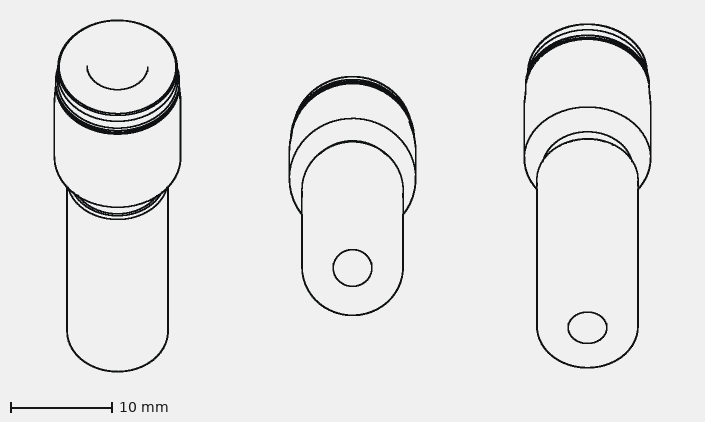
import cadquery as cq
import math

stem_diameter = 10.0
stem_top = 25.3
stem_top_chamfer = 0.25
stem_bottom_fillet = 0.25

neck_diameter = 9.0

body_diameter = 12.5
body_cone_top = 28.7
body_taper_bottom = 37.7
body_taper_top = 39.8
body_rim_diameter = 12.2
body_top = 41.2
body_top_chamfer = 0.18

groove_top = 40.65
groove_width = 0.18
groove_depth = 0.1

sleeve_diameter = 7.5
flange_diameter = 11.8
flange_bottom = 42.25
flange_cone_bottom = 43.35
flange_edge_chamfer = 0.15
flange_root_fillet = 0.35
total_height = 43.8

socket_diameter = 6.0
socket_mouth_fillet = 0.25
socket_bottom = body_cone_top
passage_diameter = 3.8


DIAGONAL = math.sqrt(0.5)


def revolve_outline(outline):
    """Close a half outline drawn in radius and height, and turn it about the Z axis."""
    return outline.close().revolve(360, (0, 0), (0, 1))


def quarter_round(outline, center, start_direction, end_direction, radius):
    """Continue the outline with a quarter arc about center, between two perpendicular directions."""
    middle = tuple(c + radius * DIAGONAL * (s + e) for c, s, e in zip(center, start_direction, end_direction))
    end = tuple(c + radius * e for c, e in zip(center, end_direction))
    return outline.threePointArc(middle, end)


OUTWARD, INWARD = (1, 0), (-1, 0)
UP, DOWN = (0, 1), (0, -1)


def make_outer_body():
    """Revolve the half outline of the fitting, traced from the bottom up."""
    stem_radius = stem_diameter / 2
    neck_radius = neck_diameter / 2
    body_radius = body_diameter / 2
    rim_radius = body_rim_diameter / 2
    sleeve_radius = sleeve_diameter / 2
    flange_radius = flange_diameter / 2
    mouth_radius = socket_diameter / 2 + socket_mouth_fillet
    cone_height = body_radius - neck_radius
    stem_fillet_center = (stem_radius - stem_bottom_fillet, stem_bottom_fillet)
    root_fillet_center = (sleeve_radius + flange_root_fillet, flange_bottom - flange_root_fillet)

    outline = cq.Workplane("XZ").lineTo(stem_radius - stem_bottom_fillet, 0)
    outline = quarter_round(outline, stem_fillet_center, DOWN, OUTWARD, stem_bottom_fillet)
    outline = (
        outline.lineTo(stem_radius, stem_top - stem_top_chamfer)
        .lineTo(stem_radius - stem_top_chamfer, stem_top)
        .lineTo(neck_radius, stem_top)
        .lineTo(neck_radius, body_cone_top - cone_height)
        .lineTo(body_radius, body_cone_top)
        .lineTo(body_radius, body_taper_bottom)
        .lineTo(rim_radius, body_taper_top)
        .lineTo(rim_radius, body_top - body_top_chamfer)
        .lineTo(rim_radius - body_top_chamfer, body_top)
        .lineTo(sleeve_radius, body_top)
        .lineTo(sleeve_radius, flange_bottom - flange_root_fillet)
    )
    outline = quarter_round(outline, root_fillet_center, INWARD, UP, flange_root_fillet)
    outline = (
        outline.lineTo(flange_radius, flange_bottom)
        .lineTo(flange_radius, flange_cone_bottom - flange_edge_chamfer)
        .lineTo(flange_radius - flange_edge_chamfer, flange_cone_bottom)
        .lineTo(mouth_radius, total_height)
        .lineTo(0, total_height)
    )
    return revolve_outline(outline)


def make_rim_groove():
    return (
        cq.Workplane("XY", origin=(0, 0, groove_top - groove_width))
        .circle(body_diameter / 2)
        .circle(body_rim_diameter / 2 - groove_depth)
        .extrude(groove_width)
    )


def make_bore():
    """Stepped through bore with a rounded socket mouth."""
    socket_radius = socket_diameter / 2
    passage_radius = passage_diameter / 2
    mouth_fillet_center = (socket_radius + socket_mouth_fillet, total_height - socket_mouth_fillet)
    outline = (
        cq.Workplane("XZ")
        .lineTo(passage_radius, 0)
        .lineTo(passage_radius, socket_bottom)
        .lineTo(socket_radius, socket_bottom)
        .lineTo(socket_radius, total_height - socket_mouth_fillet)
    )
    outline = quarter_round(outline, mouth_fillet_center, INWARD, UP, socket_mouth_fillet)
    return revolve_outline(outline.lineTo(0, total_height))


result = make_outer_body().cut(make_rim_groove()).cut(make_bore())